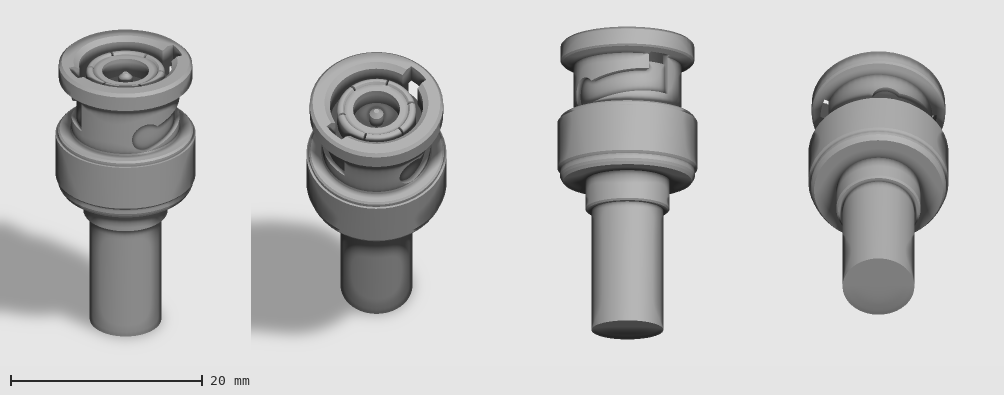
import cadquery as cq
import math

HEIGHT = 30.95
TUBE_TOP = 12.88
BODY_BOTTOM = 16.05
KNURL_BOTTOM = 17.45
KNURL_TOP = 22.38
BODY_TOP = 22.93
COLLAR_BOTTOM = 28.4
SOCKET_FLOOR = 27.75

TUBE_R = 3.75
FERRULE_R = 4.4
BODY_R = 7.05
KNURL_R = 7.3
NECK_R = 5.63
COLLAR_R = 6.95

FERRULE_CHAMFER = 0.2
BODY_LOWER_BAND = 16.65
BODY_BOTTOM_CHAMFER = 0.35
BODY_TAPER_R = 6.93
BODY_TAPER_Z = 16.37
BODY_TOP_CHAMFER = 0.2
KNURL_CHAMFER = 0.28
NECK_FLARE = 0.15
COLLAR_CHAMFER = 0.3
COLLAR_CONE_TOP = 28.85
COLLAR_EDGE_CHAMFER = 0.2

SOCKET_R = 4.85
SOCKET_CHAMFER_WIDTH = 0.55
SOCKET_CHAMFER_DEPTH = 0.43

CORE_R = 5.1
PIN_SLOT_WIDTH = 2.35
PIN_SLOT_ANGLE = 14.0
PIN_SEAT_R = 1.6
PIN_SEAT_Z = 24.73
NOTCH_DEPTH_R = 6.05

FINGER_R = 4.12
FINGER_TIP_R = 3.65
FINGER_TOP = 30.08
FINGER_BORE_R = 3.5
INSULATOR_R = 3.3
INSULATOR_TOP = 29.87
INSULATOR_BORE_R = 2.45
INSULATOR_FLOOR = 27.82
SLIT_COUNT = 6
SLIT_WIDTH = 0.25
PIN_R = 0.7
PIN_TIP_R = 0.28
PIN_SHOULDER_Z = 29.12
PIN_TOP = 29.6


def revolve(points):
    """Turn a closed (radius, z) outline around the Z axis."""
    return cq.Workplane("XZ").polyline(points).close().revolve(360, (0, 0, 0), (0, 1, 0))


def cylinder(radius, bottom, top):
    return cq.Workplane("XY").workplane(offset=bottom).circle(radius).extrude(top - bottom)


def outer_shell():
    return revolve([
        (0, 0),
        (TUBE_R, 0),
        (TUBE_R, TUBE_TOP),
        (FERRULE_R - FERRULE_CHAMFER, TUBE_TOP),
        (FERRULE_R, TUBE_TOP + FERRULE_CHAMFER),
        (FERRULE_R, BODY_BOTTOM),
        (BODY_R - BODY_BOTTOM_CHAMFER, BODY_BOTTOM),
        (BODY_TAPER_R, BODY_TAPER_Z),
        (BODY_R, BODY_LOWER_BAND),
        (BODY_R, KNURL_BOTTOM - KNURL_CHAMFER),
        (KNURL_R, KNURL_BOTTOM),
        (KNURL_R, KNURL_TOP),
        (BODY_R, KNURL_TOP),
        (BODY_R, BODY_TOP - BODY_TOP_CHAMFER),
        (BODY_R - BODY_TOP_CHAMFER, BODY_TOP),
        (NECK_R + NECK_FLARE, BODY_TOP),
        (NECK_R, BODY_TOP + NECK_FLARE),
        (NECK_R, COLLAR_BOTTOM),
        (COLLAR_R - COLLAR_EDGE_CHAMFER, COLLAR_CONE_TOP),
        (COLLAR_R, COLLAR_CONE_TOP + COLLAR_EDGE_CHAMFER),
        (COLLAR_R, HEIGHT - COLLAR_CHAMFER),
        (COLLAR_R - COLLAR_CHAMFER, HEIGHT),
        (0, HEIGHT),
    ])


def socket():
    return revolve([
        (0, SOCKET_FLOOR),
        (SOCKET_R, SOCKET_FLOOR),
        (SOCKET_R, HEIGHT - SOCKET_CHAMFER_DEPTH),
        (SOCKET_R + SOCKET_CHAMFER_WIDTH, HEIGHT),
        (0, HEIGHT),
    ])


def bayonet_slot():
    """Slot on the -Y side: entry channel, sloping run towards -X and round pin seat."""
    half = PIN_SLOT_WIDTH / 2
    run_length = 2 * NECK_R
    seat = cq.Workplane("YZ").center(0, PIN_SEAT_Z).circle(PIN_SEAT_R).extrude(-NOTCH_DEPTH_R)
    run = (
        cq.Workplane("YZ")
        .center(-run_length / 2, half - PIN_SEAT_R)
        .rect(run_length, PIN_SLOT_WIDTH)
        .extrude(half + NOTCH_DEPTH_R)
        .translate((-NOTCH_DEPTH_R, 0, 0))
        .rotate((0, 0, 0), (1, 0, 0), -PIN_SLOT_ANGLE)
        .translate((0, 0, PIN_SEAT_Z))
    )
    around_core = cylinder(NOTCH_DEPTH_R, 0, HEIGHT).cut(cylinder(CORE_R, 0, SOCKET_FLOOR))
    entry_bottom = PIN_SEAT_Z + NECK_R * math.tan(math.radians(PIN_SLOT_ANGLE))
    entry = (
        cq.Workplane("XY")
        .workplane(offset=entry_bottom)
        .center(0, -NOTCH_DEPTH_R / 2)
        .rect(PIN_SLOT_WIDTH, NOTCH_DEPTH_R)
        .extrude(HEIGHT - entry_bottom)
    )
    return seat.union(run).union(entry).intersect(around_core)


def contact_fingers():
    rounding = FINGER_R - FINGER_TIP_R
    ring = (
        cq.Workplane("XZ")
        .moveTo(INSULATOR_R, SOCKET_FLOOR)
        .lineTo(FINGER_R, SOCKET_FLOOR)
        .lineTo(FINGER_R, FINGER_TOP - rounding)
        .radiusArc((FINGER_TIP_R, FINGER_TOP), -rounding)
        .lineTo(FINGER_BORE_R, FINGER_TOP)
        .lineTo(INSULATOR_R, INSULATOR_TOP)
        .close()
        .revolve(360, (0, 0, 0), (0, 1, 0))
    )
    for i in range(SLIT_COUNT):
        slit = (
            cq.Workplane("XY")
            .workplane(offset=SOCKET_FLOOR)
            .center(FINGER_R, 0)
            .rect(FINGER_R, SLIT_WIDTH)
            .extrude(HEIGHT - SOCKET_FLOOR)
            .rotate((0, 0, 0), (0, 0, 1), i * 360 / SLIT_COUNT)
        )
        ring = ring.cut(slit)
    return ring


def insulator():
    return cylinder(INSULATOR_R, SOCKET_FLOOR, INSULATOR_TOP).cut(
        cylinder(INSULATOR_BORE_R, INSULATOR_FLOOR, INSULATOR_TOP)
    )


def centre_pin():
    return revolve([
        (0, SOCKET_FLOOR),
        (PIN_R, SOCKET_FLOOR),
        (PIN_R, PIN_SHOULDER_Z),
        (PIN_TIP_R, PIN_TOP),
        (0, PIN_TOP),
    ])


slot = bayonet_slot()
opposite_slot = slot.rotate((0, 0, 0), (0, 0, 1), 180)
result = outer_shell().cut(socket()).cut(slot).cut(opposite_slot)
result = result.union(insulator()).union(contact_fingers()).union(centre_pin())